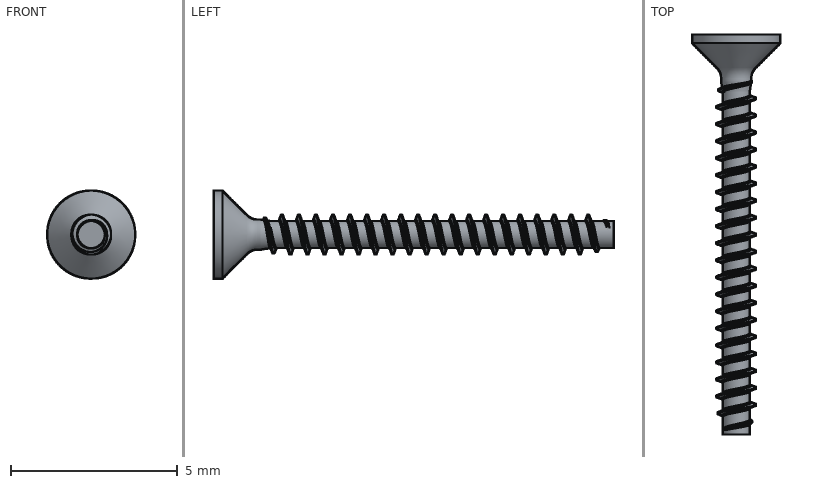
import cadquery as cq
import math

length = 12.0
head_radius = 2.65 / 2
rim_thickness = 0.26

neck_fillet = 0.42
collar_radius = 0.45
collar_length = 0.11
core_radius = 0.41
core_taper_length = 0.3

full_turns = 18.25
full_thread_start = 1.92
full_thread_end = 11.23
pitch = (full_thread_end - full_thread_start) / full_turns
crest_radius = 0.6
crest_width = 0.02
knee_radius = 0.43
knee_width = 0.13
base_width = 0.2
run_in_turns = 1.0
run_in_crest_radius = 0.48
run_out_turns = 1.25
overlap = 0.01

foot_slope = (base_width - knee_width) / (knee_radius - core_radius)
root_radius = core_radius - overlap
root_width = base_width + foot_slope * overlap
end_radius = core_radius - overlap / 2
knee_share = (knee_radius - root_radius) / (crest_radius - root_radius)


def make_blank():
    """Head, neck fillet, collar and core, revolved about Z with depth measured from the head face."""
    arc_drop = neck_fillet * (1 - math.cos(math.radians(45)))
    cone_end_radius = collar_radius + arc_drop
    cone_end = rim_thickness + head_radius - cone_end_radius
    collar_start = cone_end + neck_fillet * math.sin(math.radians(45))
    half_angle = math.radians(22.5)
    arc_middle = (
        collar_radius + neck_fillet * (1 - math.cos(half_angle)),
        collar_start - neck_fillet * math.sin(half_angle),
    )
    collar_end = collar_start + collar_length
    return (
        cq.Workplane("XZ")
        .lineTo(head_radius, 0)
        .lineTo(head_radius, rim_thickness)
        .lineTo(cone_end_radius, cone_end)
        .threePointArc(arc_middle, (collar_radius, collar_start))
        .lineTo(collar_radius, collar_end)
        .lineTo(core_radius, collar_end + core_taper_length)
        .lineTo(core_radius, length)
        .lineTo(0, length)
        .close()
        .revolve(360, (0, 0, 0), (0, 1, 0))
        .val()
    )


def helix(turns, start_radius, stop_radius, start):
    """Helix about Z from +X whose radius changes evenly along its length."""
    height = turns * pitch
    cone_angle = math.atan((stop_radius - start_radius) / height)
    stretch = 1 / math.cos(cone_angle)
    return cq.Wire.makeHelix(
        pitch * stretch,
        height * stretch,
        start_radius,
        center=cq.Vector(0, 0, start),
        angle=math.degrees(cone_angle) or 360,
    )


def make_thread(turns, start_crest, stop_crest, start):
    """Thread ridge starting on +X at the given depth, with a crest that may rise or fall along it."""
    start_knee, stop_knee = (
        root_radius + knee_share * (crest - root_radius) for crest in (start_crest, stop_crest)
    )
    levels = [
        (root_radius, root_radius, root_width),
        (start_knee, stop_knee, knee_width),
        (start_crest, stop_crest, crest_width),
    ]
    head_side = [helix(turns, first, last, start - width / 2) for first, last, width in levels]
    tip_side = [helix(turns, first, last, start + width / 2) for first, last, width in levels]
    corners = head_side + tip_side[::-1]
    faces = [cq.Face.makeRuledSurface(corners[i - 1], corners[i]) for i in range(len(corners))]
    for end in (cq.Wire.startPoint, cq.Wire.endPoint):
        faces.append(cq.Face.makeFromWires(cq.Wire.makePolygon([end(c) for c in corners], close=True)))
    return cq.Solid.makeSolid(cq.Shell.makeShell(faces))


run_in_start = full_thread_start - run_in_turns * pitch
run_in = make_thread(run_in_turns, run_in_crest_radius, crest_radius, run_in_start)
full_thread = make_thread(full_turns, crest_radius, crest_radius, full_thread_start)
run_out = make_thread(run_out_turns, crest_radius, end_radius, full_thread_end).rotate(
    (0, 0, 0), (0, 0, 1), 360 * full_turns
)

screw = make_blank().fuse(run_in, full_thread, run_out)

result = cq.Workplane(screw).rotate((0, 0, 0), (1, 0, 0), 90)